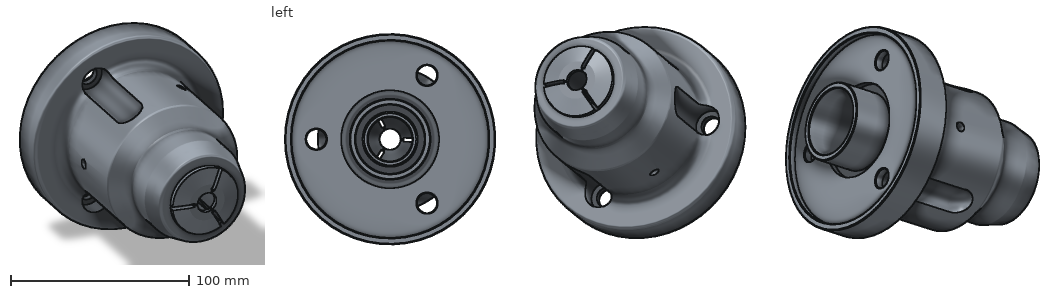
import cadquery as cq


OVERALL_LENGTH = 136.0
FLANGE_BACK = 16.0
FLANGE_FRONT = 36.0
SHOULDER_END = 102.0
COLLAR_END = 117.9
HOUSING_END = 130.8

SPIGOT_RADIUS = 22.7
FLANGE_RADIUS = 59.0
BODY_RADIUS = 40.5
COLLAR_RADIUS = 30.0
NOSE_RADIUS = 26.5

EDGE_CHAMFER = 0.5
EDGE_FILLET = 2.0
ROOT_FILLET = 6.0

FACE_RECESS_RADIUS = 55.2
FACE_RECESS_DEPTH = 4.0
GROOVE_RADIUS = 27.5
GROOVE_DEPTH = 4.0

REPEATS = 3
REPEAT_ANGLE = 360.0 / REPEATS
BOLT_CIRCLE_RADIUS = 41.3
BOLT_HOLE_RADIUS = 5.6
FLUTE_RADIUS = 8.7
FLUTE_BACK = 25.0
FLUTE_BALL_CENTRE = 76.2
PIN_HOLE_RADIUS = 2.7
PIN_HOLE_STATION = 60.9

SPIGOT_BORE_RADIUS = 19.3
SEAT_RADIUS = 20.3
SEAT_BACK = 49.0

COLLET_TURN = 2.0
TAIL_BACK = 36.0
TAIL_RADIUS = 15.5
TAIL_CHAMFER = 1.0
COLLET_RIM_END = 133.8
COLLET_TIP_RADIUS = 10.9
COLLET_BORE_RADIUS = 12.4
BORE_TAPER_START = 125.5
BORE_TAPER_END = 133.3
COLLET_MOUTH_RADIUS = 5.8
SLOT_BACK = 108.8
SLOT_WIDTH = 2.0
SLIT_WIDTH = 0.7
SLOT_INNER_RADIUS = 7.8


def revolve_profile(points):
    """Turn a closed (x, radius) outline about the X axis."""
    return cq.Workplane("XY").polyline(points).close().revolve(360, (0, 0, 0), (1, 0, 0))


def rod(start, end, radius):
    """Cylinder on the X axis between two stations."""
    return cq.Workplane("YZ", origin=(start, 0, 0)).circle(radius).extrude(end - start)


def chamfered_cutter(start, end, radius):
    """Cylinder on the X axis that also cuts a chamfer at its starting edge."""
    mouth = radius + EDGE_CHAMFER
    return revolve_profile(
        [(start, 0), (start, mouth), (start + EDGE_CHAMFER, radius), (end, radius), (end, 0)]
    )


def around_axis(shape):
    """Copies of a shape spaced evenly about the X axis."""
    return [
        shape.rotate((0, 0, 0), (1, 0, 0), i * REPEAT_ANGLE)
        for i in range(REPEATS)
    ]


def edges_at(workplane, station, radius):
    """Circular edges of a turned body that lie at one station and radius."""
    reach = 0.01
    box = cq.selectors.BoxSelector(
        (station - reach, -radius - reach, -radius - reach),
        (station + reach, radius + reach, radius + reach),
        boundingbox=True,
    )
    return workplane.edges(box)


def housing_blank():
    """Outer turned shape, with a 45 degree shoulder between body and collar."""
    shoulder_start = SHOULDER_END - (BODY_RADIUS - COLLAR_RADIUS)
    blank = revolve_profile(
        [
            (0, 0),
            (0, SPIGOT_RADIUS - EDGE_CHAMFER),
            (EDGE_CHAMFER, SPIGOT_RADIUS),
            (FLANGE_BACK, SPIGOT_RADIUS),
            (FLANGE_BACK, FLANGE_RADIUS - EDGE_CHAMFER),
            (FLANGE_BACK + EDGE_CHAMFER, FLANGE_RADIUS),
            (FLANGE_FRONT, FLANGE_RADIUS),
            (FLANGE_FRONT, BODY_RADIUS),
            (shoulder_start, BODY_RADIUS),
            (SHOULDER_END, COLLAR_RADIUS),
            (COLLAR_END, COLLAR_RADIUS),
            (HOUSING_END, NOSE_RADIUS),
            (HOUSING_END, 0),
        ]
    )
    blank = edges_at(blank, FLANGE_FRONT, BODY_RADIUS).fillet(ROOT_FILLET)
    rounded_edges = [
        (FLANGE_FRONT, FLANGE_RADIUS),
        (shoulder_start, BODY_RADIUS),
        (SHOULDER_END, COLLAR_RADIUS),
        (COLLAR_END, COLLAR_RADIUS),
        (HOUSING_END, NOSE_RADIUS),
    ]
    for station, radius in rounded_edges:
        blank = edges_at(blank, station, radius).fillet(EDGE_FILLET)
    return blank


def back_face_recesses():
    """Shallow face recess and the deeper groove around the spigot."""
    recess_floor = FLANGE_BACK + FACE_RECESS_DEPTH
    groove_floor = recess_floor + GROOVE_DEPTH
    return revolve_profile(
        [
            (FLANGE_BACK, SPIGOT_RADIUS),
            (FLANGE_BACK, FACE_RECESS_RADIUS + EDGE_CHAMFER),
            (FLANGE_BACK + EDGE_CHAMFER, FACE_RECESS_RADIUS),
            (recess_floor, FACE_RECESS_RADIUS),
            (recess_floor, GROOVE_RADIUS),
            (groove_floor, GROOVE_RADIUS),
            (groove_floor, SPIGOT_RADIUS),
        ]
    )


def bolt_cutter():
    """Flange hole on the +Y side, opening into a wider ball-ended flute along the body."""
    hole = chamfered_cutter(FLANGE_BACK + FACE_RECESS_DEPTH, FLUTE_BACK, BOLT_HOLE_RADIUS)
    flute = rod(FLUTE_BACK, FLUTE_BALL_CENTRE, FLUTE_RADIUS)
    ball = cq.Workplane("XY").sphere(FLUTE_RADIUS).translate((FLUTE_BALL_CENTRE, 0, 0))
    return hole.union(flute).union(ball).translate((0, BOLT_CIRCLE_RADIUS, 0))


def pin_hole():
    """Radial hole from the bore out through the -Y side of the body."""
    plane = cq.Workplane("XZ", origin=(PIN_HOLE_STATION, 0, 0))
    return plane.circle(PIN_HOLE_RADIUS).extrude(BODY_RADIUS)


def make_housing():
    housing = housing_blank().cut(back_face_recesses())
    for cutter in around_axis(bolt_cutter()) + around_axis(pin_hole()):
        housing = housing.cut(cutter)
    housing = housing.cut(chamfered_cutter(0, SEAT_BACK, SPIGOT_BORE_RADIUS))
    return housing.cut(rod(SEAT_BACK, HOUSING_END, SEAT_RADIUS))


def collet_blank():
    """Hollow turned shape whose bore narrows to the mouth at the tip."""
    return revolve_profile(
        [
            (TAIL_BACK, COLLET_BORE_RADIUS + EDGE_CHAMFER),
            (TAIL_BACK, TAIL_RADIUS - TAIL_CHAMFER),
            (TAIL_BACK + TAIL_CHAMFER, TAIL_RADIUS),
            (SEAT_BACK, TAIL_RADIUS),
            (SEAT_BACK, SEAT_RADIUS),
            (COLLET_RIM_END, SEAT_RADIUS),
            (OVERALL_LENGTH, COLLET_TIP_RADIUS),
            (OVERALL_LENGTH, COLLET_MOUTH_RADIUS),
            (BORE_TAPER_END, COLLET_MOUTH_RADIUS),
            (BORE_TAPER_START, COLLET_BORE_RADIUS),
            (TAIL_BACK + EDGE_CHAMFER, COLLET_BORE_RADIUS),
        ]
    )


def slot_cutter():
    """Slot on the -Y side: a narrow slit at the mouth that widens outward."""

    def cut_box(inner, width):
        size = (OVERALL_LENGTH - SLOT_BACK, SEAT_RADIUS - inner, width)
        corner = (SLOT_BACK, -SEAT_RADIUS, -width / 2)
        return cq.Workplane("XY").box(*size, centered=False).translate(corner)

    return cut_box(0, SLIT_WIDTH).union(cut_box(SLOT_INNER_RADIUS, SLOT_WIDTH))


def make_collet():
    collet = collet_blank()
    for cutter in around_axis(slot_cutter()):
        collet = collet.cut(cutter)
    return collet.rotate((0, 0, 0), (1, 0, 0), COLLET_TURN)


housing = make_housing()
collet = make_collet()

result = cq.Compound.makeCompound([housing.val(), collet.val()])